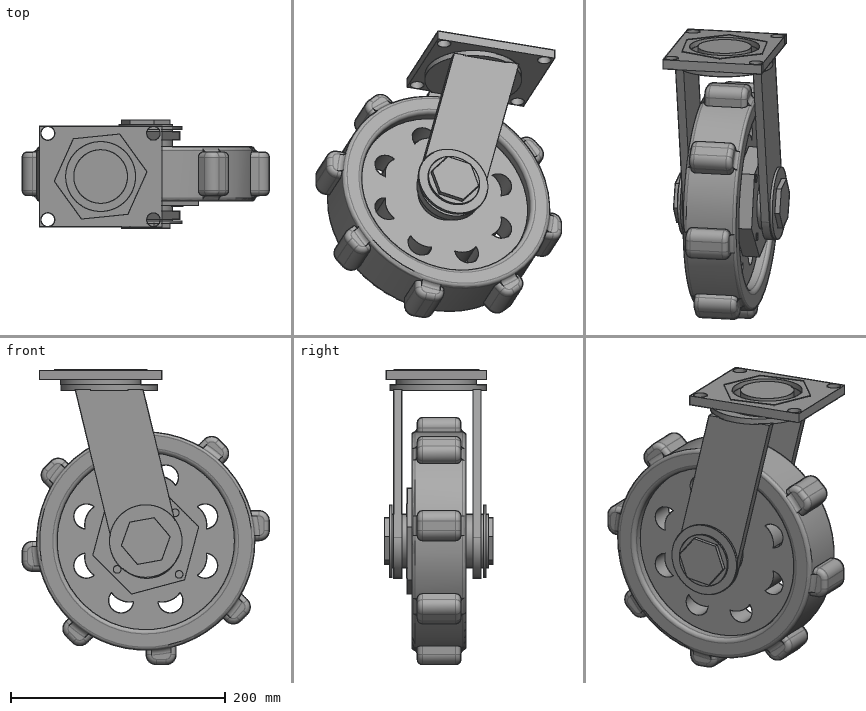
import cadquery as cq
import math


tread_radius = 101.5
wheel_y = 0.3
tyre_half_width = 25.3
tyre_side_inner_radius = 86.5
rim_inner_radius = 165.0 / 2
shoulder_fillet_front = 2.7
shoulder_fillet_back = 3.5
rim_fillet = tyre_side_inner_radius - rim_inner_radius
lug_count = 8
lug_offset = 14.3
lug_top_radius = 115.0
lug_root_radius = 93.3
lug_length = 28.0
lug_width = 40.5
lug_top_fillet = 9.5
lug_side_fillet = 5.0
lug_flare_radius = 5.2

web_half_width = 13.7
web_front_y = wheel_y - web_half_width
crescent_count = 8
crescent_centre_radius = 59.8
crescent_radius = 11.5
crescent_inner_radius = 20.5
crescent_shifts = {1: (-4.0, 3.8), 2: (-2.2, 3.3)}

cover_hex_radius = 51.0
cover_hex_angle = 15
cover_face_y = -29.5
rivet_radius = 7.0 / 2
rivet_head_height = 0.8
rivet_spots = [(27.5, 26.4), (-26.5, -26.4), (31.0, -31.0), (-31.0, 31.0)]

shaft_radius = 50.0 / 2
axle_half_length = 50.5
shaft_end_y = 46.5
shaft_start_y = -43.5
axle_hex_radius = 23.0
axle_hex_angle = 10.2
washer_radius = 67.5 / 2
washer_thickness = 2.5
washer_starts_y = [41.7, shaft_start_y - washer_thickness]

leg_tilt = 13.6
leg_width = 61.5
leg_thickness = 7.7
leg_starts_y = [31.8, -42.0]
leg_end_drop = 4.0
fork_disc_radius = 90.0 / 2
fork_disc_bottom = 140.0
leg_overlap = 0.8
leg_top = fork_disc_bottom + leg_overlap
fork_disc_top = 145.5
fork_disc_x = -34.0
fork_disc_y = -0.5
pin_radius = 50.0 / 2

swivel_x = -42.0
swivel_y = -2.2
plate_length = 114.2
plate_width = 93.5
plate_bottom = 150.2
plate_top = 159.0
plate_hole_radius = 12.5 / 2
plate_hole_span_x = 98.3
plate_hole_span_y = 80.5
bush_top = 159.5
bush_bottom = 154.3
bush_hex_radius = 43.5
bush_hex_angle = 5.8
boss_radius = 75.0 / 2
bore_radius = 65.0 / 2


def hexagon(radius, angle):
    """Corner points of a hexagon whose first corner lies at the given angle."""
    turns = [math.radians(angle + 60 * i) for i in range(6)]
    return [(radius * math.cos(t), radius * math.sin(t)) for t in turns]


def along_y(start):
    """Workplane at Y = start with X right and Z up; extruding a positive length goes to -Y."""
    return cq.Workplane(cq.Plane(origin=(0, start, 0), xDir=(1, 0, 0), normal=(0, -1, 0)))


def disc_y(radius, start, end):
    """Cylinder around the axle line from Y = start to Y = end."""
    return along_y(start).circle(radius).extrude(start - end)


def hex_y(radius, angle, start, end):
    """Hexagonal prism around the axle line from Y = start to Y = end."""
    return along_y(start).polyline(hexagon(radius, angle)).close().extrude(start - end)


def above(x, y, z):
    """Horizontal workplane with its origin at the given point."""
    return cq.Workplane("XY", origin=(x, y, z))


def lug_flare(shoulder_fillet):
    """Concave blend, on the +Y end of a lug, from the end face down to the tyre shoulder."""
    bend_y = lug_width / 2 + lug_flare_radius
    shoulder_y = tyre_half_width - shoulder_fillet
    reach = shoulder_fillet + lug_flare_radius
    slope = math.asin((bend_y - shoulder_y) / reach)
    bend_x = tread_radius - shoulder_fillet + reach * math.cos(slope)

    def on_bend(turn):
        return bend_x - lug_flare_radius * math.cos(turn), bend_y - lug_flare_radius * math.sin(turn)

    ring = (
        cq.Workplane("XY")
        .moveTo(lug_root_radius, 0)
        .lineTo(lug_root_radius, shoulder_y)
        .lineTo(*on_bend(slope))
        .threePointArc(on_bend((slope + math.pi / 2) / 2), on_bend(math.pi / 2))
        .lineTo(bend_x, 0)
        .close()
        .revolve(360, (0, 0, 0), (0, 1, 0))
    )
    flat_length = lug_length - 2 * lug_side_fillet
    slab = cq.Workplane("XY", origin=(0, 0, lug_offset)).box(
        lug_top_radius, tyre_half_width, flat_length, centered=(False, False, True)
    )
    return ring.intersect(slab)


def make_lug():
    """Rounded tread block beside the +X axis, flared where its ends meet the tyre shoulders."""
    lug = cq.Workplane("XY", origin=(lug_root_radius, 0, lug_offset)).box(
        lug_top_radius - lug_root_radius, lug_width, lug_length, centered=(False, True, True)
    )
    lug = lug.edges("|Y and >X").fillet(lug_top_fillet)
    lug = lug.faces("<Y or >Y").edges("not <X").fillet(lug_side_fillet)
    lug = lug.union(lug_flare(shoulder_fillet_back))
    return lug.union(lug_flare(shoulder_fillet_front).mirror("XZ"))


def make_crescent():
    """Cutter on the +X side: a circle with a larger circle through its centre taken away."""
    outer = disc_y(crescent_radius, -tyre_half_width, tyre_half_width)
    inner = disc_y(crescent_inner_radius, -tyre_half_width, tyre_half_width)
    crescent = outer.cut(inner.translate((-crescent_inner_radius, 0, 0)))
    return crescent.translate((crescent_centre_radius, 0, 0))


def make_rim_recess():
    """Cutter for the +Y recess beside the web, widening in a rounded rim at the tyre face."""
    return (
        cq.Workplane("XY")
        .moveTo(0, web_half_width)
        .lineTo(rim_inner_radius, web_half_width)
        .lineTo(rim_inner_radius, tyre_half_width - rim_fillet)
        .radiusArc((tyre_side_inner_radius, tyre_half_width), rim_fillet)
        .lineTo(0, tyre_half_width)
        .close()
        .revolve(360, (0, 0, 0), (0, 1, 0))
    )


def make_wheel():
    """Lugged tyre with a thinner web inside, pierced by crescents and bored for the axle."""
    wheel = disc_y(tread_radius, -tyre_half_width, tyre_half_width)
    wheel = wheel.faces("<Y").edges().fillet(shoulder_fillet_front)
    wheel = wheel.faces(">Y").edges().fillet(shoulder_fillet_back)
    lug = make_lug()
    for i in range(lug_count):
        wheel = wheel.union(lug.rotate((0, 0, 0), (0, 1, 0), i * 360 / lug_count))
    recess = make_rim_recess()
    wheel = wheel.cut(recess).cut(recess.mirror("XZ"))
    crescent = make_crescent()
    for i in range(crescent_count):
        shift_x, shift_z = crescent_shifts.get(i, (0, 0))
        cutter = crescent.rotate((0, 0, 0), (0, 1, 0), -(i + 0.5) * 360 / crescent_count)
        wheel = wheel.cut(cutter.translate((shift_x, 0, shift_z)))
    bore = disc_y(shaft_radius, -tyre_half_width, tyre_half_width)
    return wheel.cut(bore).translate((0, wheel_y, 0))


def make_cover():
    """Hexagonal hub cover on the front of the web, with rivet heads on its face."""
    cover = hex_y(cover_hex_radius, cover_hex_angle, cover_face_y, web_front_y)
    heads = along_y(cover_face_y).pushPoints(rivet_spots).circle(rivet_radius).extrude(rivet_head_height)
    return cover.union(heads).cut(disc_y(shaft_radius, cover_face_y, web_front_y))


def make_axle():
    """Round shaft with a hexagon standing out at each end."""
    hexagons = hex_y(axle_hex_radius, axle_hex_angle, -axle_half_length, axle_half_length)
    return disc_y(shaft_radius, shaft_start_y, shaft_end_y).union(hexagons)


def make_washer(start, axle):
    """Washer from Y = start, with an opening that fits the axle there."""
    return disc_y(washer_radius, start, start + washer_thickness).cut(axle)


def make_leg(start):
    """Tilted fork leg with a round lower end and a bore for the axle."""
    half = leg_width / 2
    blank_height = 2 * leg_top
    leg = (
        along_y(start)
        .moveTo(-half, blank_height)
        .lineTo(-half, -leg_end_drop)
        .threePointArc((0, -leg_end_drop - half), (half, -leg_end_drop))
        .lineTo(half, blank_height)
        .close()
        .extrude(-leg_thickness)
        .rotate((0, 0, 0), (0, 1, 0), -leg_tilt)
    )
    surplus = above(0, 0, leg_top).rect(2 * blank_height, 2 * blank_height).extrude(blank_height)
    return leg.cut(surplus).cut(disc_y(shaft_radius, start, start + leg_thickness))


def make_fork():
    """Disc with two legs below it and the swivel pin above it."""
    disc = above(fork_disc_x, fork_disc_y, fork_disc_bottom).circle(fork_disc_radius)
    fork = disc.extrude(fork_disc_top - fork_disc_bottom)
    pin = above(swivel_x, swivel_y, fork_disc_top).circle(pin_radius)
    fork = fork.union(pin.extrude(bush_top - fork_disc_top))
    for start in leg_starts_y:
        fork = fork.union(make_leg(start))
    return fork


def bush_hexagon():
    """Closed outline of the bush at the height of its underside."""
    return above(swivel_x, swivel_y, bush_bottom).polyline(hexagon(bush_hex_radius, bush_hex_angle)).close()


def make_bush():
    """Hexagonal ring that sits in a matching recess of the plate."""
    height = bush_top - bush_bottom
    bore = above(swivel_x, swivel_y, bush_bottom).circle(bore_radius)
    return bush_hexagon().extrude(height).cut(bore.extrude(height))


def make_plate():
    """Plate with four corner holes, a round boss below and a stepped opening for bush and pin."""
    thickness = plate_top - plate_bottom
    base = above(swivel_x, swivel_y, plate_bottom)
    plate = base.rect(plate_length, plate_width).extrude(thickness)
    corners = base.rect(plate_hole_span_x, plate_hole_span_y, forConstruction=True).vertices()
    plate = plate.cut(corners.circle(plate_hole_radius).extrude(thickness))
    boss_base = above(swivel_x, swivel_y, fork_disc_top)
    plate = plate.union(boss_base.circle(boss_radius).extrude(plate_bottom - fork_disc_top))
    plate = plate.cut(boss_base.circle(bore_radius).extrude(plate_top - fork_disc_top))
    return plate.cut(bush_hexagon().extrude(plate_top - bush_bottom))


wheel = make_wheel()
cover = make_cover()
axle = make_axle()
washers = [make_washer(start, axle) for start in washer_starts_y]
fork = make_fork()
bush = make_bush()
plate = make_plate()

result = cq.Compound.makeCompound(
    [
        wheel.val(),
        cover.val(),
        axle.val(),
        *[washer.val() for washer in washers],
        fork.val(),
        bush.val(),
        plate.val(),
    ]
)